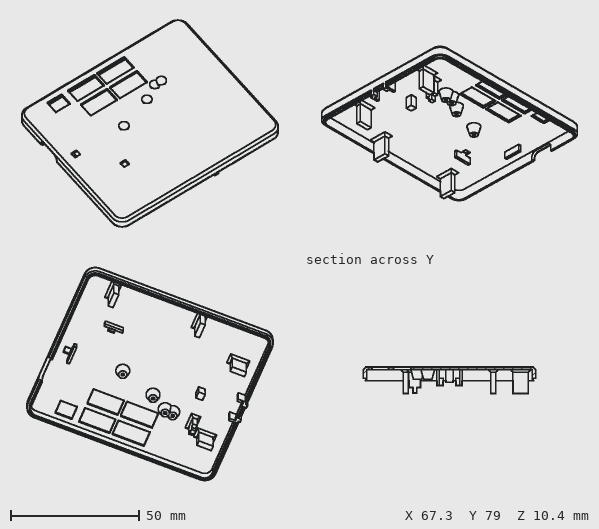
import cadquery as cq

width = 67.3
length = 79.0
corner_radius = 4.6
bevel_height = 1.2
bevel_inset = 1.0
skirt_bottom = -4.5
lip_bottom = -5.45
lip_inset = 0.9
wall = 1.5
ceiling = -1.0

window_left_x = -30.2
window_right_x = -21.8
window_left_width = 6.4
window_right_width = 6.7
window_upper_y = -3.5
window_upper_length = 13.3
window_lower_y = -17.5
window_lower_length = 12.9
small_window_y = -27.5
small_window_width = 5.7
small_window_length = 6.95

opening_size = 2.5
side_opening = (11.3, -20.55)
front_opening = (-3.7, -33.2)
opening_rib_thickness = 1.0
opening_rib_length = 3 * opening_size
opening_rib_bottom = -3.95

funnel_centres = [(-12.4, 14.6), (-12.4, 11.45), (-8.45, 4.75), (-3.5, -10.0)]
funnel_top_diameter = 6.0
funnel_bottom_diameter = 3.2
funnel_bore_top_diameter = 4.0
funnel_bore_bottom_diameter = 1.1
funnel_bottom = -4.8

notch_left = -17.85
notch_width = 10.1
notch_top = -1.5
notch_corner_radius = 2.0

root_flare = 1.0
tab_bottom = -10.4
tab_thickness = 2.05
tab_length = 6.0
side_tab_inner_x = 16.0
side_tab_y = 27.2
front_tab_corner = (23.85, -27.4)
rear_tab_corner = (24.7, 8.6)

bracket_x = -15.8
bracket_y = 22.7
bracket_width = 4.6
bracket_thickness = 1.8
bracket_bottom = -8.05
pin_x = -14.3
pin_width = 1.6
pin_bottom = -10.3
pad_size = 2.8
pad_bottom = -6.0

clip_bottom = -7.3
clip_outer_x = 4.9
clip_inner_x = 2.5
clip_leg_thickness = 0.95
clip_leg_y = 35.15
clip_leg_rear_y = 38.7
clip_foot_y = 37.5


def block(x, y, size_x, size_y, z_low, z_high):
    """Box given by its low X/Y corner, plan size and Z range."""
    return cq.Workplane("XY").box(size_x, size_y, z_high - z_low, centered=False).translate((x, y, z_low))


def flared_block(x, y, size_x, size_y, z_low):
    """Box hanging from the plate, widening at 45 degrees where it meets the plate."""
    flare = (
        cq.Workplane("XY")
        .workplane(offset=ceiling)
        .center(x + size_x / 2, y + size_y / 2)
        .rect(size_x + 2 * root_flare, size_y + 2 * root_flare)
        .workplane(offset=-root_flare)
        .rect(size_x, size_y)
        .loft(ruled=True)
    )
    return block(x, y, size_x, size_y, z_low, ceiling).union(flare)


def rounded_slab(inset, z_low, z_high):
    """Slab with the cover's outline moved inwards by inset."""
    return (
        cq.Workplane("XY")
        .workplane(offset=z_low)
        .rect(width - 2 * inset, length - 2 * inset)
        .extrude(z_high - z_low)
        .edges("|Z")
        .fillet(corner_radius - inset)
    )


def make_shell():
    skirt = rounded_slab(0, skirt_bottom, 0).faces(">Z").chamfer(bevel_height, bevel_inset)
    lip = rounded_slab(lip_inset, lip_bottom, skirt_bottom)
    return skirt.union(lip).cut(rounded_slab(wall, lip_bottom, ceiling))


def make_notch():
    notch = block(notch_left, -length / 2, notch_width, wall, lip_bottom, notch_top)
    return notch.edges("|Y and >Z").fillet(notch_corner_radius)


def cone(centre, top_diameter, bottom_diameter):
    """Cone tapering from the top face down to the funnel bottom."""
    top_radius = top_diameter / 2
    bottom_radius = bottom_diameter / 2
    profile = [(0, 0), (top_radius, 0), (bottom_radius, funnel_bottom), (0, funnel_bottom)]
    solid = cq.Workplane("XZ").polyline(profile).close().revolve(360, (0, 0, 0), (0, 1, 0))
    return solid.translate((*centre, 0))


def make_windows():
    columns = [(window_left_x, window_left_width), (window_right_x, window_right_width)]
    rows = [(window_upper_y, window_upper_length), (window_lower_y, window_lower_length)]
    windows = block(window_left_x, small_window_y, small_window_width, small_window_length, ceiling, 0)
    for x, size_x in columns:
        for y, size_y in rows:
            windows = windows.union(block(x, y, size_x, size_y, ceiling, 0))
    return windows


def make_opening(centre):
    half = opening_size / 2
    return block(centre[0] - half, centre[1] - half, opening_size, opening_size, ceiling, 0)


def make_opening_ribs():
    half = opening_size / 2
    half_length = opening_rib_length / 2
    side_x, side_y = side_opening
    front_x, front_y = front_opening
    side_rib = block(side_x + half, side_y - half_length, opening_rib_thickness, opening_rib_length,
                     opening_rib_bottom, ceiling)
    front_rib = block(front_x - half_length, front_y + half, opening_rib_length, opening_rib_thickness,
                      opening_rib_bottom, ceiling)
    return [side_rib, front_rib]


def make_tabs():
    tabs = []
    for x in (-side_tab_inner_x - tab_thickness, side_tab_inner_x):
        tabs.append(flared_block(x, side_tab_y, tab_thickness, tab_length, tab_bottom))
    for x, y in (front_tab_corner, rear_tab_corner):
        tabs.append(flared_block(x, y, tab_length, tab_thickness, tab_bottom))
    return tabs


def make_bracket():
    bracket = flared_block(bracket_x, bracket_y, bracket_width, bracket_thickness, bracket_bottom)
    pin = block(pin_x, bracket_y, pin_width, bracket_thickness, pin_bottom, bracket_bottom)
    pad = block(-pad_size / 2, bracket_y - pad_size, pad_size, pad_size, pad_bottom, ceiling)
    return [bracket.union(pin), pad]


def make_clips():
    rear_y = length / 2
    clip_middle_x = clip_outer_x - clip_leg_thickness
    leg = block(clip_middle_x, clip_leg_y, clip_leg_thickness, clip_leg_rear_y - clip_leg_y,
                clip_bottom, ceiling)
    foot = block(clip_inner_x, clip_foot_y, clip_middle_x - clip_inner_x, rear_y - clip_foot_y,
                 clip_bottom, skirt_bottom)
    clip = leg.union(foot)
    return [clip, clip.mirror("YZ")]


result = make_shell().cut(make_notch())
for part in make_opening_ribs() + make_tabs() + make_bracket() + make_clips():
    result = result.union(part)
for centre in funnel_centres:
    result = result.union(cone(centre, funnel_top_diameter, funnel_bottom_diameter))
for centre in funnel_centres:
    result = result.cut(cone(centre, funnel_bore_top_diameter, funnel_bore_bottom_diameter))
result = result.cut(make_windows())
for centre in (side_opening, front_opening):
    result = result.cut(make_opening(centre))